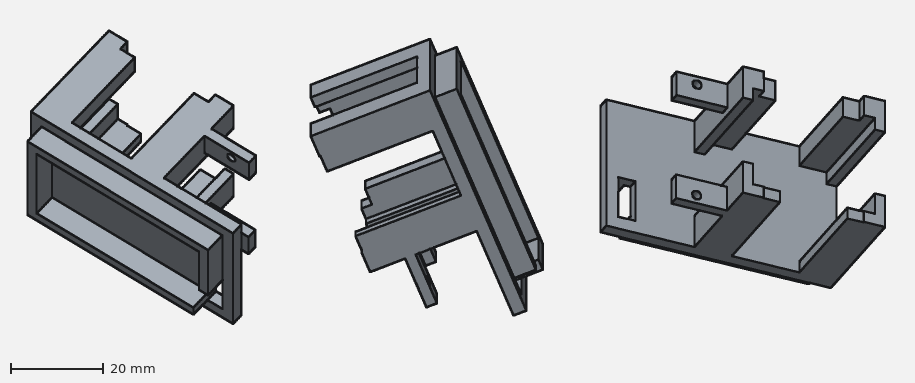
import cadquery as cq

width = 55.0
height = 32.0
depth = 33.0
plate_thickness = 3.0

rim_depth = 5.05
rim_inset_x = 2.9
rim_inset_z = 3.0
rim_wall = 2.55
recess_depth = 5.5

opening_width = 4.0
opening_height = 10.0

arm_end = depth - rim_depth
arm_width = 8.9
arm_height = 7.9
arms_span = 33.95

channel_wall = 2.4
channel_floor = 2.75
channel_roof = 4.95

outer_end_width = 5.0
upper_end_relief = 2.5
lower_end_relief = 0.2

tab_length = 12.15
tab_thickness = 2.5
tab_height = 6.0
tab_back_offset = 8.0
lower_tab_shift = 0.2
tab_hole_diameter = 2.1
tab_hole_from_end = 4.9
tab_hole_from_edge = 2.05


def block(x_range, y_range, z_range):
    """Box filling the given coordinate ranges."""
    x0, x1 = x_range
    y0, y1 = y_range
    z0, z1 = z_range
    return cq.Workplane("XY").box(x1 - x0, y1 - y0, z1 - z0, centered=False).translate((x0, y0, z0))


def make_face():
    """Flange plate with its recessed rim and corner opening."""
    rim_x = (rim_inset_x, width - rim_inset_x)
    rim_z = (rim_inset_z, height - rim_inset_z)
    plate = block((0, width), (0, plate_thickness), (0, height))
    rim = block(rim_x, (-rim_depth, 0), rim_z)
    recess = block(
        (rim_x[0] + rim_wall, rim_x[1] - rim_wall),
        (-rim_depth, recess_depth - rim_depth),
        (rim_z[0] + rim_wall, rim_z[1] - rim_wall),
    )
    opening = block(
        (rim_x[1] - opening_width, rim_x[1]),
        (-rim_depth, plate_thickness),
        (rim_z[0], rim_z[0] + opening_height),
    )
    return plate.union(rim).cut(recess).cut(opening)


def make_arms():
    """Four arms in a rectangular layout, hollowed by the channel and relieved at their ends."""
    arm_y = (plate_thickness, arm_end)
    lower_z = (0, arm_height)
    upper_z = (height - arm_height, height)
    arms = cq.Workplane("XY")
    for arm_x in ((0, arm_width), (arms_span - arm_width, arms_span)):
        for arm_z in (lower_z, upper_z):
            arms = arms.add(block(arm_x, arm_y, arm_z))
    arms = arms.combine()

    channel = block(
        (channel_wall, arms_span - channel_wall),
        (plate_thickness, arm_end),
        (channel_floor, height - channel_roof),
    )
    arms = arms.cut(channel)
    relief_x = (outer_end_width, arms_span - outer_end_width)
    for relief, arm_z in ((lower_end_relief, lower_z), (upper_end_relief, upper_z)):
        arms = arms.cut(block(relief_x, (arm_end - relief, arm_end), arm_z))
    return arms


def make_tab(back_y, bottom_z, hole_z):
    """Tab reaching sideways from an arm, with a hole along Y."""
    tab_x = (arms_span - channel_wall, arms_span + tab_length)
    front_y = back_y - tab_thickness
    tab = block(tab_x, (front_y, back_y), (bottom_z, bottom_z + tab_height))
    hole = cq.Workplane("XZ", origin=(tab_x[1] - tab_hole_from_end, back_y, hole_z))
    return tab.cut(hole.circle(tab_hole_diameter / 2).extrude(tab_thickness))


tab_back = arm_end - tab_back_offset
upper_tab = make_tab(tab_back, height - tab_height, height - tab_hole_from_edge)
lower_tab = make_tab(tab_back - lower_tab_shift, 0, tab_hole_from_edge)

result = make_face().union(make_arms()).union(upper_tab).union(lower_tab)